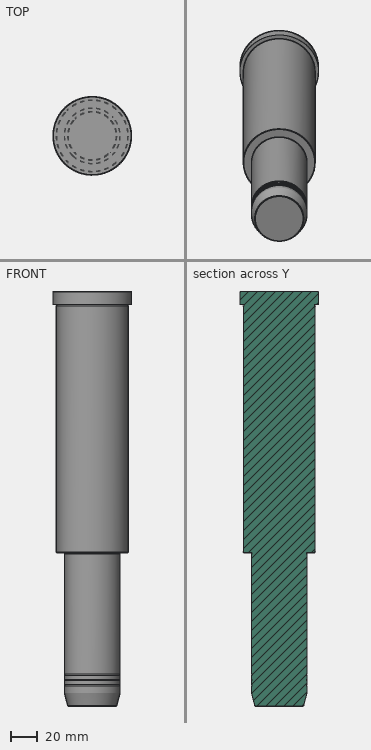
import cadquery as cq
import math

total_height = 311.0
head_diameter = 59.0
head_height = 10.0
head_chamfer = 0.47
body_diameter = 54.0
body_bottom_z = 115.0
body_chamfer = 0.47
pin_diameter = 42.0

tip_height = 10.0
tip_angle = 15.0
tip_chamfer = 0.47

groove_count = 3
lowest_groove_z = 16.0
highest_groove_z = 23.5
groove_pitch = (highest_groove_z - lowest_groove_z) / (groove_count - 1)
groove_width = 1.0
groove_depth = 0.3

relief_width = 1.0
relief_depth = 0.3


def cylinder(diameter, bottom_z, top_z):
    return cq.Workplane("XY").workplane(offset=bottom_z).circle(diameter / 2).extrude(top_z - bottom_z)


def ring_groove(diameter, depth, bottom_z, width):
    core = cylinder(diameter - 2 * depth, bottom_z, bottom_z + width)
    return cylinder(diameter, bottom_z, bottom_z + width).cut(core)


tip_radius = pin_diameter / 2 - tip_height * math.tan(math.radians(tip_angle))
tip = (
    cq.Workplane("XY")
    .circle(tip_radius)
    .workplane(offset=tip_height)
    .circle(pin_diameter / 2)
    .loft(ruled=True)
    .faces("<Z")
    .chamfer(tip_chamfer)
)

head_bottom_z = total_height - head_height
pin = cylinder(pin_diameter, tip_height, body_bottom_z)
body = cylinder(body_diameter, body_bottom_z, head_bottom_z).faces("<Z").chamfer(body_chamfer)
head = cylinder(head_diameter, head_bottom_z, total_height).faces(">Z").chamfer(head_chamfer)

result = tip.union(pin).union(body).union(head)

for index in range(groove_count):
    groove_bottom_z = lowest_groove_z + index * groove_pitch - groove_width / 2
    result = result.cut(ring_groove(pin_diameter, groove_depth, groove_bottom_z, groove_width))

for diameter, shoulder_z in ((body_diameter, head_bottom_z), (pin_diameter, body_bottom_z)):
    result = result.cut(ring_groove(diameter, relief_depth, shoulder_z - relief_width, relief_width))